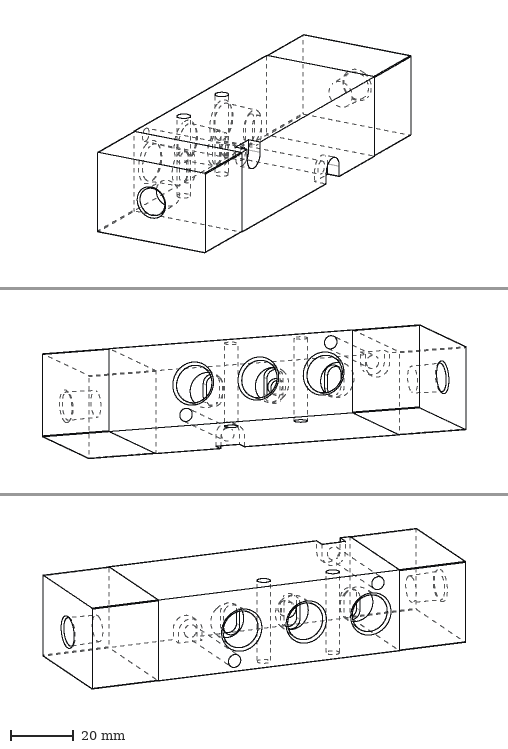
import cadquery as cq
import math

total_length = 130.0
width = 40.0
height = 27.0
body_length = 84.0
cap_length = (total_length - body_length) / 2
cap_edge_chamfer = 0.3

thread_taper_angle = math.degrees(math.atan(1 / 32))
mouth_angle = 45

port_center_y = -9.5
port_pitch = 22.5
port_diameter = 12.2
port_mouth_diameter = 14.0
port_depth = 11.7

slot_width = 5.6
outer_slot_height = 10.0
middle_slot_height = 11.0
outer_slot_inset = 1.5
slot_depth = 2.6
feed_hole_diameter = 5.1
feed_hole_depth = 2.6

mount_hole_diameter = 4.3
vertical_hole_x = -13.5
vertical_hole_pitch = 24.0
cross_hole_half_pitch_y = 25.0
cross_hole_offset_z = 10.0

seat_width = 8.2
seat_depth = 4.3

pilot_diameter = 9.2
pilot_mouth_diameter = 10.5
pilot_depth = 10.4


def threaded_port(face_plane, diameter, mouth_diameter, depth):
    """Blind hole into the face, tapering towards its floor, with a 45 degree mouth."""
    chamfer = (mouth_diameter - diameter) / 2
    hole = cq.Workplane(face_plane).circle(diameter / 2).extrude(-depth, taper=thread_taper_angle)
    mouth = cq.Workplane(face_plane).circle(mouth_diameter / 2).extrude(-chamfer, taper=mouth_angle)
    return hole.union(mouth)


def port_cutter(index):
    """Port with its floor slot; index is -1, 0 or 1 along Y."""
    port_y = port_center_y + index * port_pitch
    face = cq.Plane(origin=(-width / 2, port_y, 0), xDir=(0, 0, 1), normal=(-1, 0, 0))
    port = threaded_port(face, port_diameter, port_mouth_diameter, port_depth)
    slot_height = middle_slot_height if index == 0 else outer_slot_height
    slot = (
        cq.Workplane("YZ", origin=(-width / 2 + port_depth, port_y - index * outer_slot_inset, 0))
        .slot2D(slot_height, slot_width, 90)
        .extrude(slot_depth)
    )
    return port.union(slot)


def feed_hole_cutter():
    """Round hole in the floor of the middle slot."""
    floor_x = -width / 2 + port_depth + slot_depth
    return (
        cq.Workplane("YZ", origin=(floor_x, port_center_y, 0))
        .circle(feed_hole_diameter / 2)
        .extrude(feed_hole_depth)
    )


def vertical_holes_cutter():
    """Two through holes along Z, between the ports."""
    return (
        cq.Workplane("XY", origin=(vertical_hole_x, port_center_y, -height / 2))
        .rarray(1.3, vertical_hole_pitch, 1, 2)
        .circle(mount_hole_diameter / 2)
        .extrude(height)
    )


def cross_hole_cutter(side):
    """Through hole along X with a U-shaped seat open to the top (side 1) or bottom (side -1)."""
    hole_y = port_center_y - side * cross_hole_half_pitch_y
    hole_z = side * cross_hole_offset_z
    hole = (
        cq.Workplane("YZ", origin=(-width / 2, hole_y, hole_z))
        .circle(mount_hole_diameter / 2)
        .extrude(width)
    )
    seat_plane = cq.Workplane("YZ", origin=(width / 2 - seat_depth, hole_y, hole_z))
    seat_round = seat_plane.circle(seat_width / 2).extrude(seat_depth)
    seat_opening = (
        seat_plane.center(0, side * seat_width / 2).rect(seat_width, seat_width).extrude(seat_depth)
    )
    return hole.union(seat_round).union(seat_opening)


def make_body():
    body = cq.Workplane("XY").box(width, body_length, height)
    for index in (-1, 0, 1):
        body = body.cut(port_cutter(index))
    body = body.cut(feed_hole_cutter())
    body = body.cut(vertical_holes_cutter())
    for side in (-1, 1):
        body = body.cut(cross_hole_cutter(side))
    return body


def make_cap(end):
    """End cap at the +Y (end 1) or -Y (end -1) end of the body."""
    center_y = end * (body_length + cap_length) / 2
    cap = cq.Workplane("XY", origin=(0, center_y, 0)).box(width, cap_length, height)
    cap = cap.edges("|Y").chamfer(cap_edge_chamfer)
    end_face = cq.Plane(origin=(0, end * total_length / 2, 0), xDir=(1, 0, 0), normal=(0, end, 0))
    return cap.cut(threaded_port(end_face, pilot_diameter, pilot_mouth_diameter, pilot_depth))


body = make_body()
caps = [make_cap(end) for end in (-1, 1)]

result = cq.Compound.makeCompound([body.val(), *[cap.val() for cap in caps]])